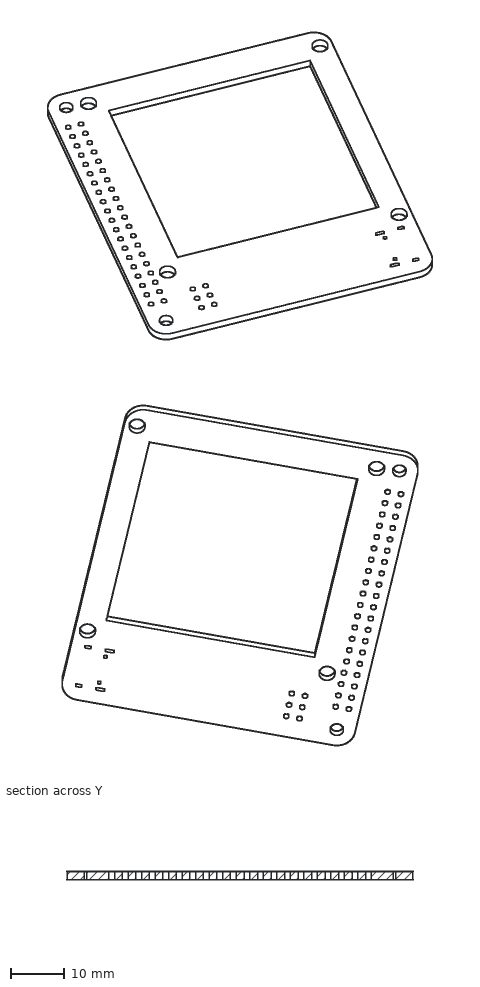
import cadquery as cq

board_length = 65.1
board_width = 56.2
board_thickness = 1.6
corner_radius = 3.5

window_size = 40.0
window_center = (-5.7, 2.7)
window_hole_spacing = 46.0
window_hole_diameter = 3.0

corner_hole_inset = 3.5
corner_hole_spacing = board_length - 2 * corner_hole_inset
corner_hole_diameter = 2.5
corner_hole_y = -board_width / 2 + corner_hole_inset

pin_pitch = 2.54
pin_hole_diameter = 1.0
long_header_pins = (20, 2)
long_header_center = (0.03, -24.64)
short_header_pins = (3, 2)
short_header_center = (25.54, -15.97)

connector_x = 25.07
slot_spacing = 8.64
slot_width = 0.6
slot_row_distance = 4.18
short_slot_length = 1.2
short_slot_y = 24.9
long_slot_length = 1.7
long_slot_y = short_slot_y - slot_row_distance
peg_spacing = 5.78
peg_diameter = 0.65
peg_offset = 0.53
peg_y = long_slot_y + peg_offset


def cut_holes(body, center, spacing, counts, diameter):
    """Cut a rectangular grid of round through holes."""
    return (
        body.faces(">Z").workplane(origin=(center[0], center[1], board_thickness))
        .rarray(spacing, spacing, counts[0], counts[1])
        .hole(diameter)
    )


def cut_slots(body, y, length):
    """Cut a pair of round-ended through slots running along Y."""
    along_y = 90
    return (
        body.faces(">Z").workplane(origin=(connector_x, y, board_thickness))
        .rarray(slot_spacing, slot_spacing, 2, 1)
        .slot2D(length, slot_width, along_y)
        .cutThruAll()
    )


def make_board():
    """Build the rounded plate with its square window."""
    plate = (
        cq.Workplane("XY")
        .rect(board_length, board_width)
        .extrude(board_thickness)
        .edges("|Z")
        .fillet(corner_radius)
    )
    window = (
        cq.Workplane("XY")
        .center(*window_center)
        .rect(window_size, window_size)
        .extrude(board_thickness)
    )
    return plate.cut(window)


result = make_board()

result = cut_holes(result, window_center, window_hole_spacing, (2, 2), window_hole_diameter)
result = cut_holes(result, (0.0, corner_hole_y), corner_hole_spacing, (2, 1), corner_hole_diameter)

result = cut_holes(result, long_header_center, pin_pitch, long_header_pins, pin_hole_diameter)
result = cut_holes(result, short_header_center, pin_pitch, short_header_pins, pin_hole_diameter)

result = cut_slots(result, short_slot_y, short_slot_length)
result = cut_slots(result, long_slot_y, long_slot_length)
result = cut_holes(result, (connector_x, peg_y), peg_spacing, (2, 1), peg_diameter)